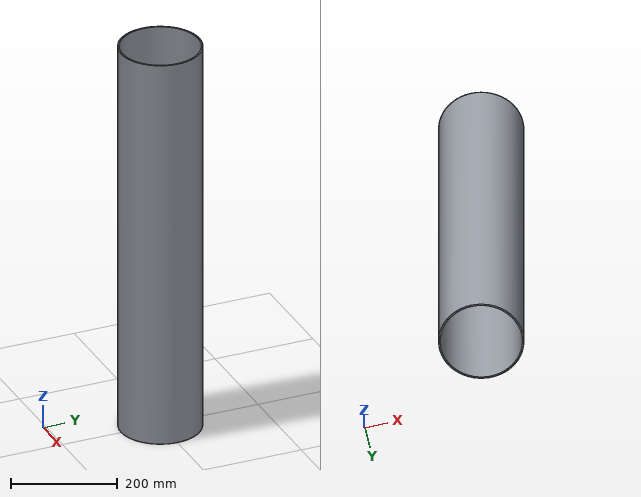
import cadquery as cq

length = 800.0
outer_diameter = 160.0
wall = 3.0
inner_diameter = outer_diameter - 2 * wall

result = (
    cq.Workplane("XY")
    .circle(outer_diameter / 2)
    .circle(inner_diameter / 2)
    .extrude(length)
)